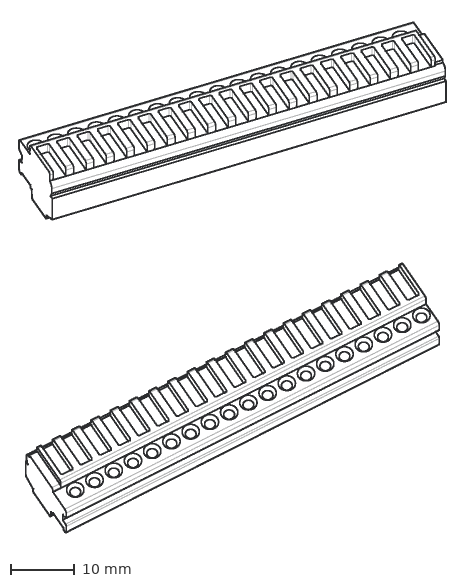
import cadquery as cq

length = 68.0
height = 10.6
width = 12.5

pole_count = 19
ridge_length = 66.6
pole_pitch = ridge_length / pole_count
first_pole_y = 1.7

ridge_left = 4.1
ridge_right = 11.55
ledge_height = 8.65
shoulder_height = 8.9
ridge_round = 0.4
ledge_round = 0.5

plate_right = 11.35
plate_top = 9.45
plate_round = 0.4

groove_depth = 1.1
groove_bottom = 4.5
groove_top = 6.0
groove_mouth_bottom = 4.4
groove_mouth_top = 6.45
groove_lower_round = 0.3
groove_upper_round = 0.15

foot_bottom = 1.85
foot_width = 0.9
foot_round = 0.5
recess_top = 2.3
recess_right = 4.15
keel_top_left = 4.7
keel_left = 4.9
keel_right = 10.3
keel_side_height = 0.8
keel_round = 0.2

wall_bottom = 1.6
wall_top = 6.0
notch_x = 11.8
bead_x = 12.3
bead_bottom = 6.9
bead_round = bead_x - plate_right

screw_x = 2.65
screw_top_diameter = 2.7
screw_floor_diameter = 1.7
screw_depth = 0.7

pocket_left = 5.1
pocket_width = 2.2
pocket_floor = shoulder_height
pocket_corner = 0.3


def make_body():
    profile = (
        cq.Workplane("XZ")
        .moveTo(keel_left, 0)
        .lineTo(keel_right, 0)
        .lineTo(keel_right, keel_side_height)
        .lineTo(width, wall_bottom)
        .lineTo(width, wall_top)
        .lineTo(notch_x, wall_top)
        .lineTo(bead_x, bead_bottom)
        .lineTo(bead_x, shoulder_height - bead_round)
        .radiusArc((plate_right, shoulder_height), -bead_round)
        .lineTo(ridge_left, shoulder_height)
        .lineTo(ridge_left, ledge_height)
        .lineTo(0, ledge_height)
        .lineTo(0, groove_mouth_top)
        .lineTo(groove_depth, groove_top)
        .lineTo(groove_depth, groove_bottom)
        .lineTo(0, groove_mouth_bottom)
        .lineTo(0, foot_bottom)
        .lineTo(foot_width, foot_bottom)
        .lineTo(foot_width, recess_top)
        .lineTo(recess_right, recess_top)
        .lineTo(recess_right, foot_bottom)
        .lineTo(keel_top_left, foot_bottom)
        .close()
    )
    body = profile.extrude(-length)

    rounds = [
        (0, ledge_height, ledge_round),
        (0, groove_mouth_top, groove_upper_round),
        (0, groove_mouth_bottom, groove_lower_round),
        (0, foot_bottom, foot_round),
        (keel_left, 0, keel_round),
        (keel_right, 0, keel_round),
    ]
    for x, z, radius in rounds:
        body = body.edges("|Y").edges(cq.NearestToPointSelector((x, length / 2, z))).fillet(radius)
    return body


def make_ridge():
    ridge = cq.Workplane("XY").box(
        ridge_right - ridge_left, ridge_length, height - ledge_height, centered=False
    )
    ridge = ridge.edges("|Y and >Z").fillet(ridge_round)
    return ridge.translate((ridge_left, 0, ledge_height))


def make_rear_plate():
    plate = cq.Workplane("XY").box(
        plate_right - ridge_left, length - ridge_length, plate_top - ledge_height, centered=False
    )
    plate = plate.edges("|Y and >Z and <X").fillet(plate_round)
    return plate.translate((ridge_left, ridge_length, ledge_height))


def screw_seat(y):
    seat = cq.Solid.makeCone(
        screw_floor_diameter / 2,
        screw_top_diameter / 2,
        screw_depth,
        pnt=cq.Vector(screw_x, y, ledge_height - screw_depth),
    )
    return cq.Workplane(obj=seat)


def marker_pocket(y):
    pocket = cq.Workplane("XY").box(
        width - pocket_left, pocket_width, height - pocket_floor, centered=(False, True, False)
    )
    pocket = pocket.edges("|Z and <X").fillet(pocket_corner)
    return pocket.translate((pocket_left, y, pocket_floor))


result = make_body().union(make_ridge()).union(make_rear_plate())
for pole in range(pole_count):
    pole_y = first_pole_y + pole * pole_pitch
    result = result.cut(screw_seat(pole_y))
    result = result.cut(marker_pocket(pole_y))